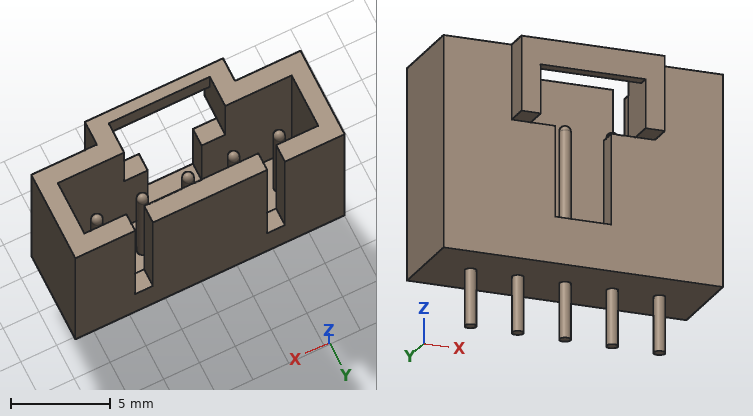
import cadquery as cq

length = 15.04
depth = 5.0
height = 11.4
wall = 1.0
floor_thickness = 1.0

latch_width = 7.72
latch_reach = 1.35
latch_height = 4.03
latch_opening_width = 5.64
latch_bar_thickness = 0.6
latch_bar_height = 1.4

slot_bottom = 2.5
front_slot_width = 3.01
rear_slot_width = 1.0
rear_slot_offset = 3.68

pin_count = 5
pin_pitch = 2.54
pin_diameter = 0.6
pin_tail = 3.0
pin_top = 8.45

front = -depth / 2
rear = depth / 2
latch_front = front - latch_reach
latch_bottom = height - latch_height


def block(width, y_start, y_end, z_start, z_end, x_center=0):
    """Box given by its width about x_center and its limits in Y and Z."""
    return (
        cq.Workplane("XY")
        .box(width, y_end - y_start, z_end - z_start, centered=(True, False, False))
        .translate((x_center, y_start, z_start))
    )


def make_pin(x):
    """Straight pin with a hemispherical upper end."""
    radius = pin_diameter / 2
    shoulder = pin_top - radius
    shaft = cq.Workplane("XY").circle(radius).extrude(pin_tail + shoulder)
    shaft = shaft.translate((0, 0, -pin_tail))
    tip = cq.Workplane("XY").sphere(radius).translate((0, 0, shoulder))
    return shaft.union(tip).translate((x, 0, 0))


def make_housing():
    """Walled box with its latch loop and wall slots."""
    housing = block(length, front, rear, 0, height)
    housing = housing.union(block(latch_width, latch_front, front, latch_bottom, height))

    cavity_front = front + wall
    cavity_rear = rear - wall
    housing = housing.cut(block(length - 2 * wall, cavity_front, cavity_rear, floor_thickness, height))

    bar_rear = latch_front + latch_bar_thickness
    housing = housing.cut(block(latch_opening_width, bar_rear, cavity_front, latch_bottom, height))

    bar_bottom = height - latch_bar_height
    housing = housing.cut(block(latch_opening_width, latch_front, bar_rear, latch_bottom, bar_bottom))

    housing = housing.cut(block(front_slot_width, front, cavity_front, slot_bottom, latch_bottom))

    for x in (-rear_slot_offset, rear_slot_offset):
        housing = housing.cut(block(rear_slot_width, cavity_rear, rear, slot_bottom, height, x))
    return housing


result = make_housing()
for index in range(pin_count):
    result = result.union(make_pin((index - (pin_count - 1) / 2) * pin_pitch))